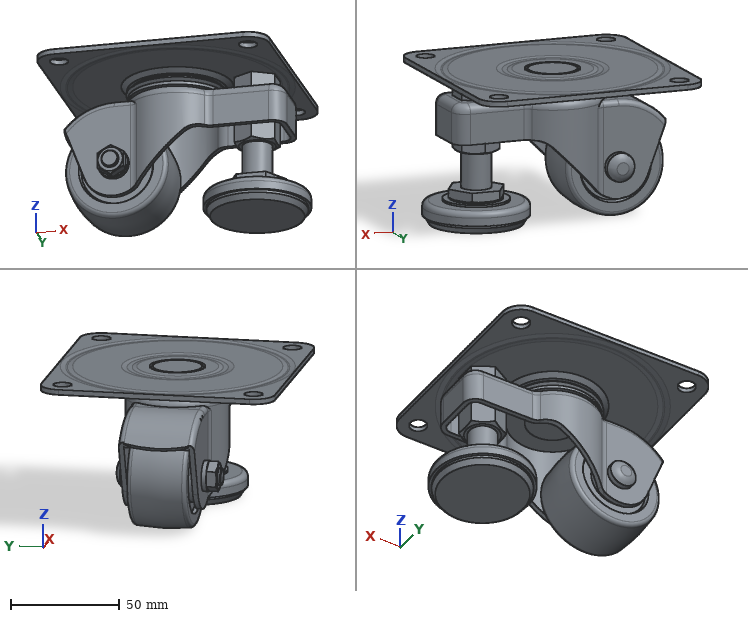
import cadquery as cq
import math


SHEET = 2.5
HEX_CONE_ANGLE = 25.0

PLATE_TOP = 70.0
PLATE_SIDE = 110.0
PLATE_CORNER = 10.0
PLATE_BOTTOM = PLATE_TOP - SHEET
BOLT_HOLE_PITCH = 89.9
BOLT_HOLE_DIAMETER = 8.5
BEAD_RADII = (54.3, 51.7, 51.0, 48.5)
GROOVE_DEPTH = 0.4
RACE_RADII = (26.0, 23.4, 21.0, 18.9)
RACE_DEPTH = 2.1

PIN_RADIUS = 12.9
PIN_CHAMFER = 1.4
SEAT_RADIUS = 22.9
SEAT_HEIGHT = 1.7
SEAL_RADIUS = 23.7
SEAL_WAIST = 21.6
SEAL_HEIGHT = 3.3

FORK_TOP = 60.1
FORK_FILLET = 4.4
HEAD_RADIUS = 24.1
ARM_END = 54.0
ARM_HALF_WIDTH = 15.5
ARM_BOTTOM = 41.0
ARM_CORNER = 6.8
BLEND = 5.0
LEG_OUTSIDE = 17.8
LEG_INSIDE = LEG_OUTSIDE - SHEET
LEG_TIP_RADIUS = 15.3
HOOD_RADIUS = 31.4
HOOD_FILLET = 2.7
HOOD_END_ANGLE = 140.0
LIP_HALF_WIDTH = 15.1
LIP_SIDE = 0.6
LIP_REACH = 2.4
BACK_ANGLE = 45.0
BACK_FILLET = 11.8

WHEEL_RADIUS = 25.0
WHEEL_X = -25.7
WHEEL_HALF_WIDTH = 13.9
TREAD_HALF_WIDTH = 12.0
TREAD_EDGE_RADIUS = 24.3
FACE_RADIUS = 22.2
DISH_OUTER = 17.8
DISH_INNER = 17.0
DISH_DEPTH = 1.8
HUB_RADIUS = 12.4

AXLE_RADIUS = 4.0
AXLE_END = 26.3
AXLE_CHAMFER = 0.4
WASHER_RADIUS = 7.2
WASHER_THICKNESS = 2.2
AXLE_NUT_FLATS = 12.4
AXLE_NUT_HEIGHT = 4.8
AXLE_NUT_TIP_RADIUS = 5.9
HEAD_RIM_RADIUS = 6.8
HEAD_CROWN_RADIUS = 3.0
HEAD_RIM_HEIGHT = 2.7
HEAD_CROWN_HEIGHT = 2.4
CROWN_BEND = 0.6

FOOT_X = 38.0
SLEEVE_FLATS = 19.1
SLEEVE_TURN = 30.0
SLEEVE_BOTTOM = 34.5
SLEEVE_TIP_RADIUS = 8.6
STEM_RADIUS = 7.1
LOCKNUT_FLATS = 24.0
LOCKNUT_BOTTOM = 12.5
LOCKNUT_TOP = 17.1
LOCKNUT_TIP_RADIUS = 12.5
COLLAR_RADIUS = 12.5
SKIRT_RADIUS = 15.7
SKIRT_TOP = 11.9
PAD_TOP = 11.0
PAD_RADIUS = 25.0
PAD_FILLET = 2.8
PAD_BOTTOM = 4.1
TREAD_PAD_RADIUS = 23.6
TREAD_PAD_CHAMFER_WIDTH = 1.8
TREAD_PAD_CHAMFER_HEIGHT = 2.8


def ring_section(radii, floor_z, rim_z):
    """Solid ring with a trapezoid section, wide at rim_z and narrow at floor_z."""
    outer, floor_outer, floor_inner, inner = radii
    points = [(outer, rim_z), (floor_outer, floor_z), (floor_inner, floor_z), (inner, rim_z)]
    return cq.Workplane("XZ").polyline(points).close().revolve(360, (0, 0), (0, 1))


def chamfered_hex(flats, bottom, top, turn, tip_radius):
    """Upright hexagon, turned off at its lower end by a cone that starts at tip_radius."""
    corner = flats / math.sqrt(3)
    prism = (
        cq.Workplane("XY").workplane(offset=bottom)
        .transformed(rotate=(0, 0, turn))
        .polygon(6, 2 * corner).extrude(top - bottom)
    )
    cone_end = bottom + (corner - tip_radius) * math.tan(math.radians(HEX_CONE_ANGLE))
    cone = (
        cq.Workplane("XZ")
        .polyline([(0, bottom), (tip_radius, bottom), (corner, cone_end), (corner, top), (0, top)])
        .close().revolve(360, (0, 0), (0, 1))
    )
    return prism.intersect(cone)


def on_wheel_circle(radius, degrees):
    """Point (x, z) on a circle about the wheel axis, with degrees counted from +X toward +Z."""
    angle = math.radians(degrees)
    return (WHEEL_X + radius * math.cos(angle), WHEEL_RADIUS + radius * math.sin(angle))


def wheel_axis_cylinder(radius, y_from, y_to):
    return (
        cq.Workplane("XZ", origin=(WHEEL_X, y_from, WHEEL_RADIUS))
        .circle(radius).extrude(y_from - y_to)
    )


def make_plate():
    plate = (
        cq.Workplane("XY").workplane(offset=PLATE_BOTTOM)
        .rect(PLATE_SIDE, PLATE_SIDE).extrude(SHEET)
        .edges("|Z").fillet(PLATE_CORNER)
    )
    for radii, depth in ((BEAD_RADII, GROOVE_DEPTH), (RACE_RADII, RACE_DEPTH)):
        plate = plate.union(ring_section(radii, PLATE_BOTTOM - depth, PLATE_BOTTOM))
        plate = plate.cut(ring_section(radii, PLATE_TOP - GROOVE_DEPTH, PLATE_TOP))
    bolt_holes = (
        cq.Workplane("XY").workplane(offset=PLATE_BOTTOM)
        .rect(BOLT_HOLE_PITCH, BOLT_HOLE_PITCH, forConstruction=True).vertices()
        .circle(BOLT_HOLE_DIAMETER / 2).extrude(SHEET)
    )
    pin_hole = cq.Workplane("XY").workplane(offset=PLATE_BOTTOM).circle(PIN_RADIUS).extrude(SHEET)
    return plate.cut(bolt_holes).cut(pin_hole)


def make_swivel():
    seat_top = FORK_TOP + SEAT_HEIGHT
    seal_top = seat_top + SEAL_HEIGHT
    race_bottom = PLATE_BOTTOM - RACE_DEPTH
    fork_web_bottom = FORK_TOP - SHEET
    return (
        cq.Workplane("XZ")
        .moveTo(0, fork_web_bottom)
        .lineTo(PIN_RADIUS, fork_web_bottom)
        .lineTo(PIN_RADIUS, FORK_TOP)
        .lineTo(SEAT_RADIUS, FORK_TOP)
        .lineTo(SEAT_RADIUS, seat_top)
        .lineTo(SEAL_WAIST, seat_top)
        .lineTo(SEAL_RADIUS, seat_top + SEAL_HEIGHT / 2)
        .lineTo(SEAL_WAIST, seal_top)
        .lineTo(SEAL_WAIST, race_bottom)
        .lineTo(PIN_RADIUS, race_bottom)
        .lineTo(PIN_RADIUS, PLATE_TOP - PIN_CHAMFER)
        .lineTo(PIN_RADIUS - PIN_CHAMFER, PLATE_TOP)
        .lineTo(0, PLATE_TOP)
        .close().revolve(360, (0, 0), (0, 1))
    )


def blend_points(head_radius, half_width, blend):
    """Start, middle and end, in plan, of the concave arc from the head to a parallel-sided limb."""
    center_y = half_width + blend
    center_x = math.sqrt((head_radius + blend) ** 2 - center_y ** 2)
    share = head_radius / (head_radius + blend)
    start = (center_x * share, center_y * share)
    end = (center_x, half_width)
    angle = (math.atan2(-center_y, -center_x) - math.pi / 2) / 2
    middle = (center_x + blend * math.cos(angle), center_y + blend * math.sin(angle))
    return start, middle, end


def mirrored(point):
    return (point[0], -point[1])


def head_and_arm(inset, bottom, top):
    """Round head joined to the arm, with the sides moved in by inset."""
    radius = HEAD_RADIUS - inset
    half_width = ARM_HALF_WIDTH - inset
    end = ARM_END - inset
    start, middle, finish = blend_points(radius, half_width, BLEND + inset)
    return (
        cq.Workplane("XY").workplane(offset=bottom)
        .moveTo(*start)
        .threePointArc(middle, finish)
        .lineTo(end, half_width)
        .lineTo(end, -half_width)
        .lineTo(*mirrored(finish))
        .threePointArc(mirrored(middle), mirrored(start))
        .threePointArc((-radius, 0), start)
        .close().extrude(top - bottom)
        .edges("|Z and >X").fillet(ARM_CORNER - inset)
    )


def leg_plan():
    """Strip over both legs, flaring on each side to meet the round head."""
    start, middle, finish = [(-x, y) for x, y in blend_points(HEAD_RADIUS, LEG_OUTSIDE, BLEND)]
    front = WHEEL_X - 2 * HOOD_RADIUS
    return (
        cq.Workplane("XY")
        .moveTo(front, LEG_OUTSIDE)
        .lineTo(*finish)
        .threePointArc(middle, start)
        .lineTo(0, start[1])
        .lineTo(0, -start[1])
        .lineTo(*mirrored(start))
        .threePointArc(mirrored(middle), mirrored(finish))
        .lineTo(front, -LEG_OUTSIDE)
        .close().extrude(FORK_TOP)
    )


def legs_and_hood():
    """Both legs and the hood as one block, before it is hollowed."""
    hood_end = on_wheel_circle(HOOD_RADIUS, HOOD_END_ANGLE)
    hood_middle = on_wheel_circle(HOOD_RADIUS, (HOOD_END_ANGLE + 90) / 2)
    hood_top = on_wheel_circle(HOOD_RADIUS, 90)
    tip_front_angle = HOOD_END_ANGLE + math.degrees(math.acos(LEG_TIP_RADIUS / HOOD_RADIUS))
    tip_front = on_wheel_circle(LEG_TIP_RADIUS, tip_front_angle)
    tip_bottom = on_wheel_circle(LEG_TIP_RADIUS, 270)
    tip_back = on_wheel_circle(LEG_TIP_RADIUS, -BACK_ANGLE)
    block = (
        cq.Workplane("XZ", origin=(0, HEAD_RADIUS, 0))
        .moveTo(*hood_end)
        .lineTo(*tip_front)
        .threePointArc(tip_bottom, tip_back)
        .lineTo(0, tip_back[1] - tip_back[0] * math.tan(math.radians(BACK_ANGLE)))
        .lineTo(0, hood_top[1])
        .lineTo(*hood_top)
        .threePointArc(hood_middle, hood_end)
        .close().extrude(2 * HEAD_RADIUS)
        .intersect(leg_plan())
    )
    hood_box = cq.selectors.BoxSelector(
        (hood_end[0] - 1.2, -HEAD_RADIUS - 1.2, hood_end[1] + 1.2), (-1.2, HEAD_RADIUS + 1.2, FORK_TOP)
    )
    return block.edges(hood_box).edges("not(|Y)").fillet(HOOD_FILLET)


def space_below_head():
    """Everything under the round leg tips, their sloping back edge and the bottom of the arm."""
    tip_back = on_wheel_circle(LEG_TIP_RADIUS, -BACK_ANGLE)
    slope = math.tan(math.radians(BACK_ANGLE))
    knee_x = tip_back[0] + (ARM_BOTTOM - tip_back[1]) / slope
    knee = (
        cq.Workplane("XZ", origin=(0, HEAD_RADIUS, 0))
        .moveTo(*on_wheel_circle(LEG_TIP_RADIUS, 270))
        .threePointArc(on_wheel_circle(LEG_TIP_RADIUS, 270 + BACK_ANGLE / 2), tip_back)
        .lineTo(knee_x, ARM_BOTTOM)
        .lineTo(ARM_END, ARM_BOTTOM)
        .lineTo(ARM_END, 0)
        .lineTo(WHEEL_X, 0)
        .close().extrude(2 * HEAD_RADIUS)
    )
    near_knee = cq.selectors.BoxSelector(
        (knee_x - 1.2, -HEAD_RADIUS, ARM_BOTTOM - 1.2), (knee_x + 1.2, HEAD_RADIUS, ARM_BOTTOM + 1.2)
    )
    return knee.edges("|Y").edges(near_knee).fillet(BACK_FILLET)


def hood_lip():
    """Bulged tongue that continues the front end of the hood, before it is hollowed."""
    angle = math.radians(HOOD_END_ANGLE)
    radial = (math.cos(angle), 0, math.sin(angle))
    axle_plane = cq.Plane(origin=(WHEEL_X, 0, WHEEL_RADIUS), xDir=(0, 1, 0), normal=radial)
    tongue = (
        cq.Workplane(axle_plane)
        .moveTo(-LIP_HALF_WIDTH, 0)
        .lineTo(-LIP_HALF_WIDTH, LIP_SIDE)
        .threePointArc((0, LIP_REACH), (LIP_HALF_WIDTH, LIP_SIDE))
        .lineTo(LIP_HALF_WIDTH, 0)
        .close().extrude(2 * HOOD_RADIUS)
    )
    return tongue.intersect(wheel_axis_cylinder(HOOD_RADIUS, -LIP_HALF_WIDTH, LIP_HALF_WIDTH))


def make_fork():
    head = head_and_arm(0, 0, FORK_TOP).faces(">Z").edges().fillet(FORK_FILLET)
    fork = head.cut(space_below_head()).union(legs_and_hood())
    web_bottom = FORK_TOP - SHEET
    fork = hood_lip().union(fork)
    fork = fork.cut(head_and_arm(SHEET, 0, web_bottom))
    fork = fork.cut(wheel_axis_cylinder(HOOD_RADIUS - SHEET, -LEG_INSIDE, LEG_INSIDE))
    pin_hole = cq.Workplane("XY").workplane(offset=web_bottom).circle(PIN_RADIUS).extrude(SHEET)
    axle_hole = wheel_axis_cylinder(AXLE_RADIUS, -LEG_OUTSIDE, LEG_OUTSIDE)
    sleeve_hole = chamfered_hex(
        SLEEVE_FLATS, SLEEVE_BOTTOM, PLATE_BOTTOM, SLEEVE_TURN, SLEEVE_TIP_RADIUS
    ).translate((FOOT_X, 0, 0))
    return fork.cut(pin_hole).cut(axle_hole).cut(sleeve_hole)


def make_wheel():
    """Turned wheel: crowned tread, rounded edges, dished faces and a hub that meets the legs."""
    dish_floor = WHEEL_HALF_WIDTH - DISH_DEPTH
    quarter = [
        (LEG_INSIDE, AXLE_RADIUS),
        (LEG_INSIDE, HUB_RADIUS),
        (dish_floor, HUB_RADIUS),
        (dish_floor, DISH_INNER),
        (WHEEL_HALF_WIDTH, DISH_OUTER),
        (WHEEL_HALF_WIDTH, FACE_RADIUS),
    ]
    edge_bend = (
        TREAD_HALF_WIDTH + (WHEEL_HALF_WIDTH - TREAD_HALF_WIDTH) * math.sqrt(0.5),
        FACE_RADIUS + (TREAD_EDGE_RADIUS - FACE_RADIUS) * math.sqrt(0.5),
    )
    profile = (
        cq.Workplane("YX")
        .polyline(quarter)
        .threePointArc(edge_bend, (TREAD_HALF_WIDTH, TREAD_EDGE_RADIUS))
        .threePointArc((0, WHEEL_RADIUS), (-TREAD_HALF_WIDTH, TREAD_EDGE_RADIUS))
        .threePointArc((-edge_bend[0], edge_bend[1]), (-WHEEL_HALF_WIDTH, FACE_RADIUS))
    )
    for y, radius in reversed(quarter[:-1]):
        profile = profile.lineTo(-y, radius)
    wheel = profile.close().revolve(360, (0, 0), (1, 0))
    return wheel.translate((WHEEL_X, 0, WHEEL_RADIUS))


def make_axle():
    washer_face = LEG_OUTSIDE + WASHER_THICKNESS
    shank = wheel_axis_cylinder(AXLE_RADIUS, -AXLE_END, LEG_OUTSIDE).faces("<Y").chamfer(AXLE_CHAMFER)
    washer = wheel_axis_cylinder(WASHER_RADIUS, -washer_face, -LEG_OUTSIDE)
    nut = (
        chamfered_hex(AXLE_NUT_FLATS, 0, AXLE_NUT_HEIGHT, 90, AXLE_NUT_TIP_RADIUS)
        .rotate((0, 0, 0), (1, 0, 0), -90)
        .translate((WHEEL_X, -washer_face - AXLE_NUT_HEIGHT, WHEEL_RADIUS))
    )
    rim_end = LEG_OUTSIDE + HEAD_RIM_HEIGHT
    crown_end = rim_end + HEAD_CROWN_HEIGHT
    crown_middle = (
        rim_end + CROWN_BEND * HEAD_CROWN_HEIGHT,
        HEAD_CROWN_RADIUS + CROWN_BEND * (HEAD_RIM_RADIUS - HEAD_CROWN_RADIUS),
    )
    head = (
        cq.Workplane("YX")
        .moveTo(LEG_OUTSIDE, 0)
        .lineTo(LEG_OUTSIDE, HEAD_RIM_RADIUS)
        .lineTo(rim_end, HEAD_RIM_RADIUS)
        .threePointArc(crown_middle, (crown_end, HEAD_CROWN_RADIUS))
        .lineTo(crown_end, 0)
        .close().revolve(360, (0, 0), (1, 0))
        .translate((WHEEL_X, 0, WHEEL_RADIUS))
    )
    return shank.union(washer).union(nut).union(head)


def make_foot():
    sleeve = chamfered_hex(SLEEVE_FLATS, SLEEVE_BOTTOM, PLATE_BOTTOM, SLEEVE_TURN, SLEEVE_TIP_RADIUS)
    locknut = chamfered_hex(LOCKNUT_FLATS, LOCKNUT_BOTTOM, LOCKNUT_TOP, 0, LOCKNUT_TIP_RADIUS)
    stem = cq.Workplane("XY").workplane(offset=PAD_TOP).circle(STEM_RADIUS).extrude(SLEEVE_BOTTOM - PAD_TOP)
    pad = (
        cq.Workplane("XZ")
        .moveTo(0, 0)
        .lineTo(TREAD_PAD_RADIUS - TREAD_PAD_CHAMFER_WIDTH, 0)
        .lineTo(TREAD_PAD_RADIUS, TREAD_PAD_CHAMFER_HEIGHT)
        .lineTo(TREAD_PAD_RADIUS, PAD_BOTTOM)
        .lineTo(PAD_RADIUS, PAD_BOTTOM)
        .lineTo(PAD_RADIUS, PAD_TOP - PAD_FILLET)
        .radiusArc((PAD_RADIUS - PAD_FILLET, PAD_TOP), -PAD_FILLET)
        .lineTo(SKIRT_RADIUS, PAD_TOP)
        .lineTo(SKIRT_RADIUS, SKIRT_TOP)
        .lineTo(COLLAR_RADIUS, SKIRT_TOP)
        .lineTo(COLLAR_RADIUS, LOCKNUT_BOTTOM)
        .lineTo(0, LOCKNUT_BOTTOM)
        .close().revolve(360, (0, 0), (0, 1))
    )
    return sleeve.union(stem).union(locknut).union(pad).translate((FOOT_X, 0, 0))


plate = make_plate()
swivel = make_swivel()
fork = make_fork()
wheel = make_wheel()
axle = make_axle()
foot = make_foot()
result = cq.Compound.makeCompound(
    [plate.val(), swivel.val(), fork.val(), wheel.val(), axle.val(), foot.val()]
)